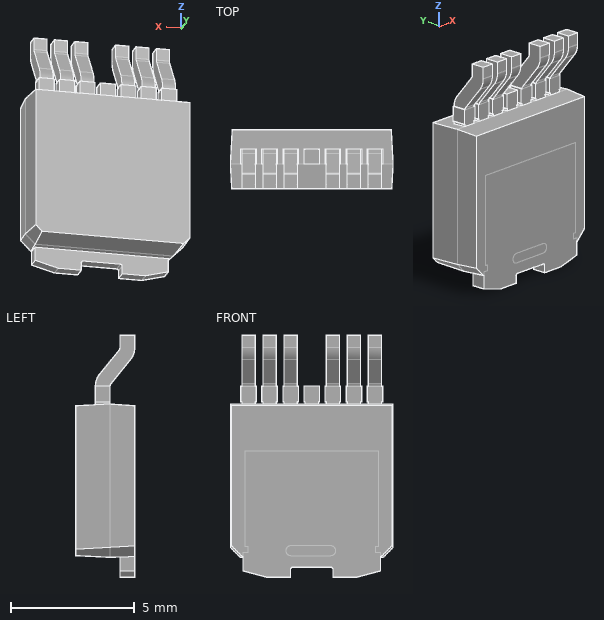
import cadquery as cq
import math


overall_height = 9.8
body_depth = 2.4
parting_y = 1.0
metal_thickness = 0.61

front_section = (3.24, 0.84, 6.95, 0.43)
parting_section = (3.298, 0.8, 7.02, 0.41)
back_section = (3.22, 0.87, 6.95, 0.26)

pad_half_width = 2.695
pad_top = 5.12
neck_half_width = 2.59
neck_top = 1.24
ear_half_width = 2.78
ear_top = 1.0
ear_bottom = 0.25
tip_half_width = 1.82
notch_half_width = 0.85
notch_height = 0.4
notch_fillet = 0.08
slot_length = 2.01
slot_width = 0.41
slot_center_x = -0.04
slot_center_z = 1.08

lead_count = 7
lead_pitch = 0.85
lead_width = 0.55
collar_width = 0.64
collar_bottom = 7.105
collar_top = 7.75
lead_embedding = 0.39
bend_start = 7.73
bend_angle = 39.0
bend_inner_radius = 0.17


def section_wire(section, y):
    """Closed body outline parallel to XZ, at depth y."""
    half_width, bottom, top, chamfer = section
    outline = [
        (-half_width, top),
        (half_width, top),
        (half_width, bottom + chamfer),
        (half_width - chamfer, bottom),
        (chamfer - half_width, bottom),
        (-half_width, bottom + chamfer),
    ]
    return cq.Wire.makePolygon([cq.Vector(x, y, z) for x, z in outline], close=True)


def make_body():
    """Two drafted halves that are widest at the parting plane."""
    front = section_wire(front_section, 0)
    parting = section_wire(parting_section, parting_y)
    back = section_wire(back_section, body_depth)
    front_half = cq.Workplane(cq.Solid.makeLoft([front, parting], True))
    back_half = cq.Workplane(cq.Solid.makeLoft([parting, back], True))
    return front_half.union(back_half)


def extrude_from_front(sketch):
    """Extrude an XZ outline from the mounting face through the sheet thickness."""
    return sketch.extrude(-metal_thickness)


def make_tab():
    """Stepped plate with a tapered, notched tip and a slot that the body fills."""
    right_side = [
        (pad_half_width, pad_top),
        (pad_half_width, neck_top),
        (neck_half_width, neck_top),
        (neck_half_width, ear_top),
        (ear_half_width, ear_top),
        (ear_half_width, ear_bottom),
        (tip_half_width, 0),
    ]
    left_side = [(-x, z) for x, z in reversed(right_side)]
    plate = extrude_from_front(cq.Workplane("XZ").polyline(right_side + left_side).close())
    notch = extrude_from_front(cq.Workplane("XZ").rect(2 * notch_half_width, 2 * notch_height))
    notch = notch.edges("|Y").fillet(notch_fillet)
    slot_sketch = cq.Workplane("XZ").center(slot_center_x, slot_center_z).slot2D(slot_length, slot_width)
    return plate.cut(notch).cut(extrude_from_front(slot_sketch))


def make_collar():
    """Wider straight stretch of a lead just outside the body."""
    height = collar_top - collar_bottom
    collar = cq.Workplane().box(collar_width, metal_thickness, height, centered=(True, False, False))
    return collar.translate((0, parting_y, collar_bottom))


def make_straight_lead(top):
    """Straight strip that rises from inside the body to the given height."""
    bottom = parting_section[2] - lead_embedding
    strip = cq.Workplane().box(lead_width, metal_thickness, top - bottom, centered=(True, False, False))
    return strip.translate((0, parting_y, bottom))


def make_bent_lead():
    """Lead of constant thickness, bent forward and then back upright at the mounting face."""
    angle = math.radians(bend_angle)
    outer_radius = bend_inner_radius + metal_thickness
    radius_sum = bend_inner_radius + outer_radius
    slope_length = (parting_y - radius_sum * (1 - math.cos(angle))) / math.sin(angle)
    bend_end = bend_start + radius_sum * math.sin(angle) + slope_length * math.cos(angle)
    lead_back = parting_y + metal_thickness
    lower_center = (parting_y - bend_inner_radius, bend_start)
    upper_center = (metal_thickness + bend_inner_radius, bend_end)

    def lower_point(radius, turn):
        return (lower_center[0] + radius * math.cos(turn), lower_center[1] + radius * math.sin(turn))

    def upper_point(radius, turn):
        return (upper_center[0] - radius * math.cos(turn), upper_center[1] - radius * math.sin(turn))

    profile = (
        cq.Workplane("YZ")
        .moveTo(parting_y, bend_start)
        .threePointArc(lower_point(bend_inner_radius, angle / 2), lower_point(bend_inner_radius, angle))
        .lineTo(*upper_point(outer_radius, angle))
        .threePointArc(upper_point(outer_radius, angle / 2), (0, bend_end))
        .lineTo(0, overall_height)
        .lineTo(metal_thickness, overall_height)
        .lineTo(metal_thickness, bend_end)
        .threePointArc(upper_point(bend_inner_radius, angle / 2), upper_point(bend_inner_radius, angle))
        .lineTo(*lower_point(outer_radius, angle))
        .threePointArc(lower_point(outer_radius, angle / 2), (lead_back, bend_start))
        .close()
    )
    return make_straight_lead(bend_start).union(profile.extrude(lead_width / 2, both=True))


tab = make_tab()
result = make_body().cut(tab).union(tab, clean=False)

middle = lead_count // 2
for index in range(lead_count):
    if index == middle:
        lead = make_straight_lead(collar_top)
    else:
        lead = make_bent_lead()
    lead = lead.union(make_collar()).translate(((index - middle) * lead_pitch, 0, 0))
    result = result.union(lead, clean=False)